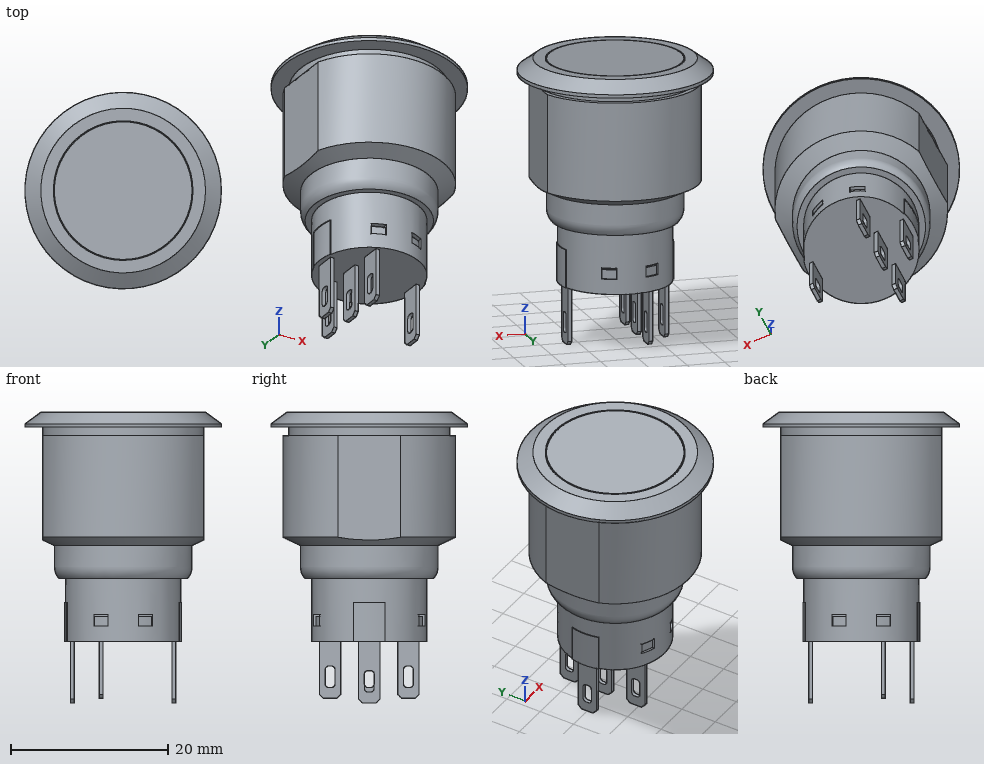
import cadquery as cq
import math

top_z = 37.0
bevel_z = 35.52
flange_z = 35.08
neck_z = 34.0
barrel_z = 21.1
cone_z = 20.0
collar_z = 15.85
base_z = 7.8

flange_radius = 25.0 / 2
face_radius = 10.47
neck_radius = 20.5 / 2
barrel_radius = 21.98 / 2
collar_radius = 17.5 / 2
base_radius = 14.7 / 2
collar_round_radius = 2.0
collar_round_angle = math.radians(45)

groove_outer_radius = 17.75 / 2
groove_inner_radius = 17.5 / 2
groove_depth = 0.2

pad_width = 3.95
pad_height = 0.1
pad_top_z = 12.8
pad_radius = base_radius + pad_height

window_inner_x = 1.92
window_outer_x = 3.75
window_bottom_z = 9.8
window_top_z = 11.3
window_floor_radius = 13.3 / 2
tongue_recess = 0.3
tongue_radius = base_radius - tongue_recess
tongue_side_gap = 0.1
tongue_top_gap = 0.3

terminal_width = 2.75
terminal_thickness = 0.5
terminal_chamfer = 0.5
long_terminal_x = 6.455
inner_terminal_x = -2.795
inner_terminal_pitch = 4.975
short_tip_z = 0.6
eye_width = 1.22
eye_length = 2.7
eye_corner_radius = 0.45
eye_offset = 1.4


def block(x_min, x_max, y_min, y_max, z_min, z_max):
    """Axis-aligned box between the given limits."""
    return (
        cq.Workplane("XY")
        .box(x_max - x_min, y_max - y_min, z_max - z_min, centered=False)
        .translate((x_min, y_min, z_min))
    )


def cylinder(radius, z_min, z_max):
    """Cylinder on the Z axis."""
    return cq.Workplane("XY").workplane(offset=z_min).circle(radius).extrude(z_max - z_min)


def collar_round_point(angle):
    """Profile point on the collar's rounded lower edge; angle 0 is where it meets the side."""
    round_top_z = collar_z + collar_round_radius * math.sin(collar_round_angle)
    return (
        collar_radius - collar_round_radius * (1 - math.cos(angle)),
        round_top_z - collar_round_radius * math.sin(angle),
    )


def make_body():
    """Turned body from the base up to the push face."""
    return (
        cq.Workplane("XZ")
        .moveTo(0, base_z)
        .lineTo(base_radius, base_z)
        .lineTo(base_radius, collar_z)
        .lineTo(*collar_round_point(collar_round_angle))
        .threePointArc(collar_round_point(collar_round_angle / 2), collar_round_point(0))
        .lineTo(collar_radius, cone_z)
        .lineTo(barrel_radius, barrel_z)
        .lineTo(barrel_radius, neck_z)
        .lineTo(neck_radius, neck_z)
        .lineTo(neck_radius, flange_z)
        .lineTo(flange_radius, flange_z)
        .lineTo(flange_radius, bevel_z)
        .lineTo(face_radius, top_z)
        .lineTo(0, top_z)
        .close()
        .revolve(360, (0, 0, 0), (0, 1, 0))
    )


def cut_barrel_flats(body):
    """Trim the barrel flush with the neck on the +X and -X sides."""
    for side in (-1, 1):
        x_limits = sorted((side * neck_radius, side * barrel_radius))
        body = body.cut(block(*x_limits, -barrel_radius, barrel_radius, cone_z, neck_z))
    return body


def make_groove():
    """Ring-shaped cut that outlines the push face."""
    return (
        cq.Workplane("XY")
        .workplane(offset=top_z - groove_depth)
        .circle(groove_outer_radius)
        .circle(groove_inner_radius)
        .extrude(groove_depth)
    )


def make_pads():
    """Strip through the base whose two curved ends stand proud of it."""
    strip = block(-pad_radius, pad_radius, -pad_width / 2, pad_width / 2, base_z, pad_top_z)
    return strip.intersect(cylinder(pad_radius, base_z, pad_top_z))


def make_window_cut(x_side, y_side):
    """Window pocket around a latch tongue, in one quadrant."""
    x_limits = sorted((x_side * window_inner_x, x_side * window_outer_x))
    y_limits = sorted((0, y_side * base_radius))
    pocket = block(*x_limits, *y_limits, window_bottom_z, window_top_z)
    pocket = pocket.cut(cylinder(window_floor_radius, window_bottom_z, window_top_z))

    tongue_top_z = window_top_z - tongue_top_gap
    tongue_limits = sorted((x_side * window_inner_x, x_side * (window_outer_x - tongue_side_gap)))
    tongue = block(*tongue_limits, *y_limits, window_bottom_z, tongue_top_z)
    tongue = tongue.intersect(cylinder(tongue_radius, window_bottom_z, tongue_top_z))
    return pocket.cut(tongue)


def make_terminal(x, y, tip_z):
    """Flat terminal with clipped tip corners and a solder eye."""
    length = base_z - tip_z
    blade = (
        cq.Workplane("XY")
        .box(terminal_thickness, terminal_width, length, centered=(True, True, False))
        .edges("<Z and |X")
        .chamfer(terminal_chamfer)
    )
    eye = (
        cq.Workplane("YZ")
        .center(0, eye_offset + eye_length / 2)
        .rect(eye_width, eye_length)
        .extrude(terminal_thickness / 2, both=True)
        .edges("|X")
        .fillet(eye_corner_radius)
    )
    return blade.cut(eye).translate((x, y, tip_z))


result = cut_barrel_flats(make_body()).cut(make_groove()).union(make_pads())

for x_side in (-1, 1):
    for y_side in (-1, 1):
        result = result.cut(make_window_cut(x_side, y_side))

for x_side in (-1, 1):
    result = result.union(make_terminal(x_side * long_terminal_x, 0, 0))

for row in (-1, 0, 1):
    result = result.union(make_terminal(inner_terminal_x, row * inner_terminal_pitch, short_tip_z))